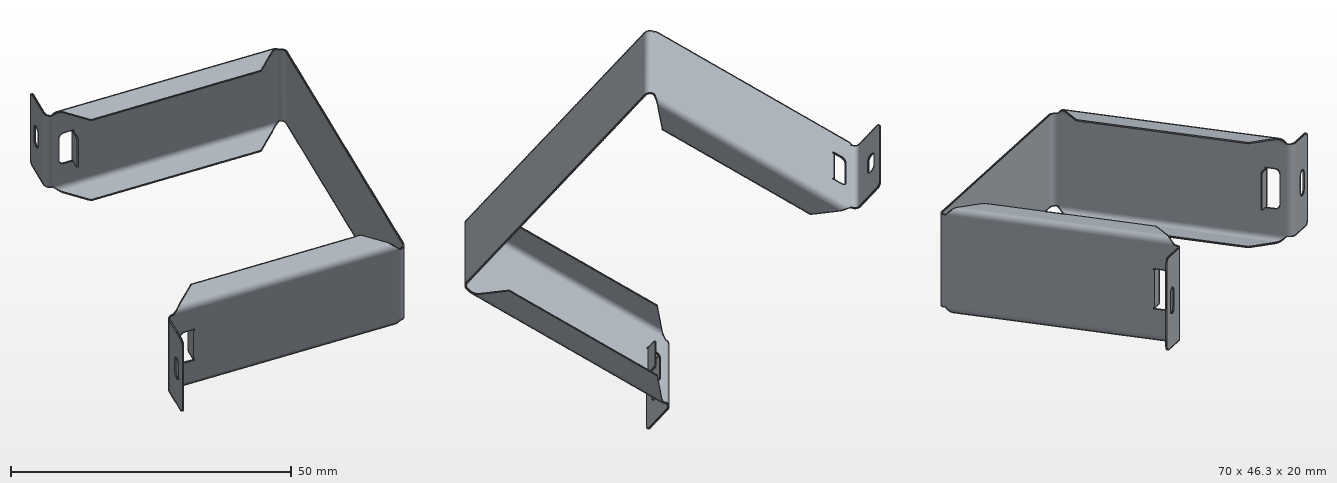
import cadquery as cq
import math


overall_width = 70.0
overall_depth = 46.3
overall_height = 20.0
wall_span = 56.0

sheet = 0.25
inner_radius = 1.0
outer_radius = inner_radius + sheet

flange_width = 5.0

foot_corner_radius = 0.9
slot_width = 1.9
slot_height = 4.9
slot_edge_distance = 2.6

window_front_distance = 2.5
window_length = 2.8
window_height = 7.6
window_corner_radius = 1.0
tab_height = 7.2
tab_reach = 2.45
tab_corner_radius = 0.5

edge_x = overall_width / 2
wall_x = wall_span / 2
wall_inner_x = wall_x - sheet
back_y = overall_depth / 2
front_y = -back_y
band_height = overall_height - 2 * outer_radius
band_top = band_height / 2
window_front_y = front_y + window_front_distance
window_rear_y = window_front_y + window_length


def make_half_band():
    """The +X half of the bent strip: back panel, side wall and foot."""
    bend_x = wall_x - outer_radius
    foot_bend_x = wall_x + inner_radius
    bend_back_y = back_y - outer_radius
    bend_front_y = front_y + outer_radius
    profile = (
        cq.Workplane("XY", origin=(0, 0, -band_top))
        .moveTo(0, back_y)
        .lineTo(bend_x, back_y)
        .tangentArcPoint((wall_x, bend_back_y), relative=False)
        .lineTo(wall_x, bend_front_y)
        .tangentArcPoint((foot_bend_x, front_y + sheet), relative=False)
        .lineTo(edge_x, front_y + sheet)
        .lineTo(edge_x, front_y)
        .lineTo(foot_bend_x, front_y)
        .tangentArcPoint((wall_inner_x, bend_front_y), relative=False)
        .lineTo(wall_inner_x, bend_back_y)
        .tangentArcPoint((bend_x, back_y - sheet), relative=False)
        .lineTo(0, back_y - sheet)
        .close()
    )
    return profile.extrude(band_height).edges("|Y and >X").fillet(foot_corner_radius)


def make_slot_cutter():
    """Vertical round-ended slot through the foot."""
    return (
        cq.Workplane("XZ", origin=(edge_x - slot_edge_distance, front_y + sheet, 0))
        .slot2D(slot_height, slot_width, 90)
        .extrude(sheet)
    )


def make_window_cutter():
    """Window through the side wall, rounded at its front corners."""
    return (
        cq.Workplane("XY")
        .box(sheet, window_length, window_height, centered=(False, False, True))
        .edges("|X and <Y")
        .fillet(window_corner_radius)
        .translate((wall_inner_x, window_front_y, 0))
    )


def make_tab():
    """Tab standing inward from the rear edge of the window."""
    return (
        cq.Workplane("XY")
        .box(tab_reach, sheet, tab_height, centered=(False, False, True))
        .edges("|Y and <X")
        .fillet(tab_corner_radius)
        .translate((wall_x - tab_reach, window_rear_y - sheet, 0))
    )


flange_half_length = back_y - outer_radius
mid_radius = (inner_radius + outer_radius) / 2
quarter_turn = math.pi / 2
bend_setback = mid_radius * quarter_turn


def make_bend_end_edge(radius, side):
    """Helical edge of the bend at one end of the flange; side is +1 at the rear, -1 at the front."""
    def point(angle):
        return (
            wall_x - outer_radius + radius * math.cos(angle),
            side * (flange_half_length - mid_radius * angle),
            band_top + radius * math.sin(angle),
        )

    return cq.Workplane("XY").parametricCurve(point, start=0, stop=quarter_turn, makeWire=False).val()


def make_flange_bend():
    """Quarter bend from the top of the wall into the flange, with sloping ends."""
    outer_rear = make_bend_end_edge(outer_radius, 1)
    outer_front = make_bend_end_edge(outer_radius, -1)
    inner_rear = make_bend_end_edge(inner_radius, 1)
    inner_front = make_bend_end_edge(inner_radius, -1)

    def end_face(position):
        corners = [
            outer_rear.positionAt(position),
            outer_front.positionAt(position),
            inner_front.positionAt(position),
            inner_rear.positionAt(position),
        ]
        return cq.Face.makeFromWires(cq.Wire.makePolygon(corners, close=True))

    faces = [
        cq.Face.makeRuledSurface(outer_rear, outer_front),
        cq.Face.makeRuledSurface(inner_rear, inner_front),
        cq.Face.makeRuledSurface(outer_rear, inner_rear),
        cq.Face.makeRuledSurface(outer_front, inner_front),
        end_face(0),
        end_face(1),
    ]
    return cq.Workplane(cq.Solid.makeSolid(cq.Shell.makeShell(faces)).fix())


def make_flange_plate():
    """Flat part of the top flange, with 45 degree ends."""
    start_x = wall_x - outer_radius
    end_x = wall_x - flange_width
    start_y = flange_half_length - bend_setback
    end_y = start_y - (start_x - end_x)
    return (
        cq.Workplane("XY", origin=(0, 0, band_top + inner_radius))
        .polyline([(start_x, start_y), (end_x, end_y), (end_x, -end_y), (start_x, -start_y)])
        .close()
        .extrude(sheet)
    )


top_flange = make_flange_bend().union(make_flange_plate())
bottom_flange = top_flange.mirror("XY")

half_bracket = (
    make_half_band()
    .cut(make_slot_cutter())
    .cut(make_window_cutter())
    .union(make_tab())
    .union(top_flange)
    .union(bottom_flange)
)

result = half_bracket.union(half_bracket.mirror("YZ")).solids()